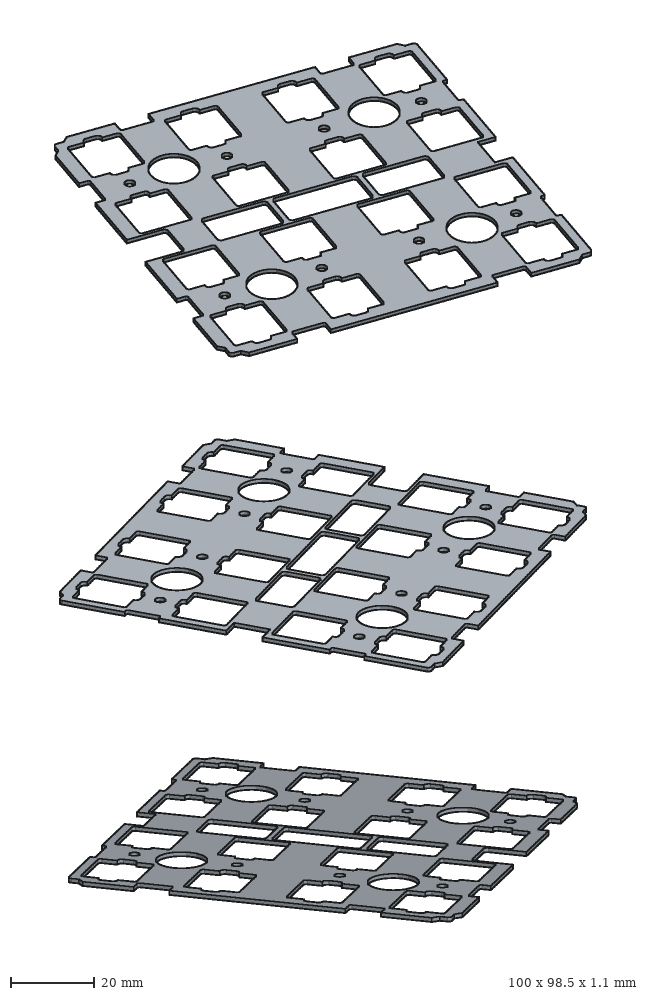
import cadquery as cq

LENGTH_X = 100.0
LENGTH_Y = 98.5
THICKNESS = 1.1
TOP_TRIM = 1.5

CENTER_Y = TOP_TRIM / 2
SQUARE_HALF = LENGTH_X / 2

KEY_PITCH = 26.0
KEY_SIZE = 14.1
KEY_CORNER_RADIUS = 0.7
TAB_DEPTH = 1.3
TAB_HEIGHT = 4.9
OUTER_TAB_RADIUS = 1.2
INNER_TAB_RADIUS = 0.9

SCREW_DIAMETER = 2.6
ROUND_DIAMETER = 12.4
ROUND_OFFSET = 26.8

NOTCH_WIDTH = 9.0
SIDE_NOTCH_DEPTH = 3.3
END_NOTCH_DEPTH = 2.8
NOTCH_RADIUS = 0.5

WINDOW_WIDTH = 10.2
MIDDLE_WINDOW_HEIGHT = 22.5
END_WINDOW_HEIGHT = 17.6
WINDOW_RIB = 1.5
WINDOW_RADIUS = 1.0
TOP_NOTCH_WIDTH = 9.4
TOP_NOTCH_DEPTH = 4.8
BOTTOM_NOTCH_DEPTH = 10.6

STEP_INSET = TOP_TRIM
STEP_LENGTH = 4.3
STEP_SLOPE = 1.5
STEP_TIP_RADIUS = 0.9


def cutter(width, height, x, y, radius=0.0):
    """Upright block through the plate, centred on (x, y) of the layout."""
    block = cq.Workplane("XY").box(width, height, 2 * THICKNESS)
    if radius > 0:
        block = block.edges("|Z").fillet(radius)
    return block.translate((x, y + CENTER_Y, 0))


def edge_notch(side, direction, width, depth, position, radius):
    """Notch reaching `depth` inward from the square plate, drawn twice as deep to run out of the edge."""
    center = direction * SQUARE_HALF
    if side == "X":
        return cutter(2 * depth, width, center, position, radius)
    return cutter(width, 2 * depth, position, center, radius)


def corner_step(sign_x, sign_y):
    """Waste at one corner of the square plate: two sloped steps and a rounded tip."""
    inner = SQUARE_HALF - STEP_INSET
    slope_start = SQUARE_HALF - STEP_LENGTH - STEP_SLOPE
    slope_end = SQUARE_HALF - STEP_LENGTH
    keep = (
        cq.Workplane("XY")
        .polyline([
            (0, 0),
            (SQUARE_HALF, 0),
            (SQUARE_HALF, slope_start),
            (inner, slope_end),
            (inner, inner),
            (slope_end, inner),
            (slope_start, SQUARE_HALF),
            (0, SQUARE_HALF),
        ])
        .close()
        .extrude(2 * THICKNESS)
        .edges(cq.selectors.NearestToPointSelector((inner, inner, THICKNESS)))
        .fillet(STEP_TIP_RADIUS)
    )
    waste = (
        cq.Workplane("XY")
        .rect(SQUARE_HALF, SQUARE_HALF, centered=False)
        .extrude(2 * THICKNESS)
        .cut(keep)
    )
    if sign_x < 0:
        waste = waste.mirror("YZ")
    if sign_y < 0:
        waste = waste.mirror("XZ")
    return waste.translate((0, CENTER_Y, -THICKNESS))


def key_opening(column, row):
    """Square opening; outer columns have a tab on both sides, inner columns only on the outward side."""
    x = column * KEY_PITCH
    y = row * KEY_PITCH
    opening = cutter(KEY_SIZE, KEY_SIZE, x, y, KEY_CORNER_RADIUS)
    if abs(column) > 1:
        return opening.union(cutter(KEY_SIZE + 2 * TAB_DEPTH, TAB_HEIGHT, x, y, OUTER_TAB_RADIUS))
    outward = 1 if column > 0 else -1
    tab_length = KEY_SIZE / 2 + TAB_DEPTH
    tab = cutter(tab_length, TAB_HEIGHT, x + outward * tab_length / 2, y, INNER_TAB_RADIUS)
    return opening.union(tab)


def round_hole(diameter, x, y):
    return (
        cq.Workplane("XY")
        .circle(diameter / 2)
        .extrude(2 * THICKNESS)
        .translate((x, y + CENTER_Y, -THICKNESS))
    )


plate = cq.Workplane("XY").box(LENGTH_X, LENGTH_Y, THICKNESS)

GRID = (-1.5, -0.5, 0.5, 1.5)
for row in GRID:
    for column in GRID:
        plate = plate.cut(key_opening(column, row))
    for half in (-1, 1):
        plate = plate.cut(round_hole(SCREW_DIAMETER, half * KEY_PITCH, row * KEY_PITCH))

for sign_x in (-1, 1):
    for sign_y in (-1, 1):
        x = sign_x * ROUND_OFFSET
        y = sign_y * ROUND_OFFSET
        plate = plate.cut(round_hole(ROUND_DIAMETER, x, y))
        plate = plate.cut(edge_notch("X", sign_x, NOTCH_WIDTH, SIDE_NOTCH_DEPTH, y, NOTCH_RADIUS))
        plate = plate.cut(edge_notch("Y", sign_y, NOTCH_WIDTH, END_NOTCH_DEPTH, x, NOTCH_RADIUS))
        plate = plate.cut(corner_step(sign_x, sign_y))

plate = plate.cut(cutter(WINDOW_WIDTH, MIDDLE_WINDOW_HEIGHT, 0, 0, WINDOW_RADIUS))
end_window_y = (MIDDLE_WINDOW_HEIGHT + END_WINDOW_HEIGHT) / 2 + WINDOW_RIB
for sign_y in (-1, 1):
    plate = plate.cut(cutter(WINDOW_WIDTH, END_WINDOW_HEIGHT, 0, sign_y * end_window_y, WINDOW_RADIUS))

plate = plate.cut(edge_notch("Y", -1, WINDOW_WIDTH, BOTTOM_NOTCH_DEPTH, 0, WINDOW_RADIUS))
plate = plate.cut(edge_notch("Y", 1, TOP_NOTCH_WIDTH, TOP_TRIM + TOP_NOTCH_DEPTH, 0, 0))

result = plate